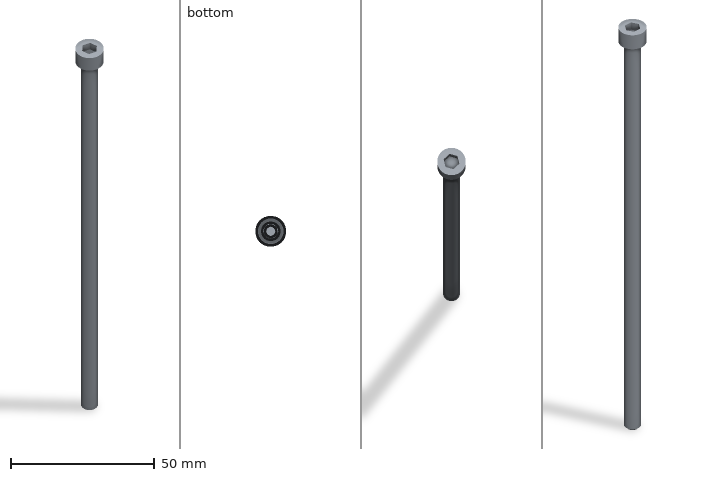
import cadquery as cq
import math

total_length = 171.0
head_diameter = 10.0
head_height = 6.0
shank_diameter = 6.0
thread_length = 24.0
tip_chamfer = 1.0
socket_width = 5.0
socket_depth = 3.0

head_bottom = total_length - head_height


def make_shank():
    """Plain shank above a thread-length section that ends in a chamfered tip."""
    threaded = cq.Workplane("XY").circle(shank_diameter / 2).extrude(thread_length)
    threaded = threaded.faces("<Z").chamfer(tip_chamfer)
    plain = (
        cq.Workplane("XY")
        .workplane(offset=thread_length)
        .circle(shank_diameter / 2)
        .extrude(head_bottom - thread_length)
    )
    return threaded.union(plain, clean=False)


def make_head():
    """Cylindrical head."""
    return (
        cq.Workplane("XY")
        .workplane(offset=head_bottom)
        .circle(head_diameter / 2)
        .extrude(head_height)
    )


def make_socket():
    """Hexagonal socket cutter, reaching down from the top of the head."""
    corner_diameter = socket_width / math.cos(math.pi / 6)
    return (
        cq.Workplane("XY")
        .workplane(offset=total_length)
        .polygon(6, corner_diameter)
        .extrude(-socket_depth)
    )


result = make_shank().union(make_head(), clean=False).cut(make_socket(), clean=False)